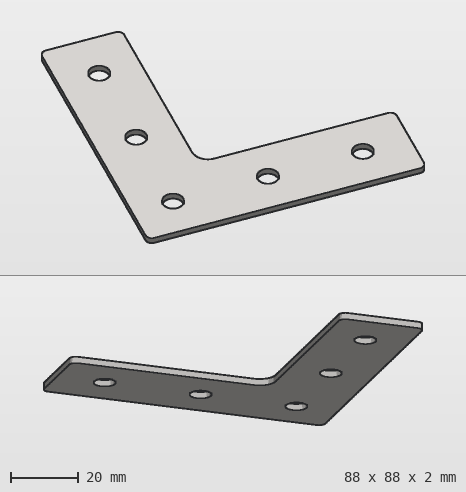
import cadquery as cq

side = 88.0
arm_width = 26.0
thickness = 2.0
corner_radius = 2.0
inner_radius = 5.0

hole_diameter = 6.5
hole_pitch = 30.0
holes_per_arm = 3

inner_x = side - arm_width
hole_x = side - arm_width / 2
hole_y = arm_width / 2


def round_upright_edge(body, point, radius):
    """Fillet the vertical edge of the body that stands at the given XY point."""
    x, y = point
    nearest = cq.selectors.NearestToPointSelector((x, y, thickness / 2))
    return body.edges("|Z").edges(nearest).fillet(radius)


def make_plate():
    """L-shaped plate with small outer corner rounds and a larger inner fillet."""
    inner_corner = (inner_x, arm_width)
    arm_end_corner = (0, arm_width)
    outer_corners = [(0, 0), (side, 0), (side, side), (inner_x, side)]
    outline = outer_corners + [inner_corner, arm_end_corner]

    plate = cq.Workplane("XY").polyline(outline).close().extrude(thickness)
    plate = round_upright_edge(plate, inner_corner, inner_radius)
    for corner in outer_corners + [arm_end_corner]:
        plate = round_upright_edge(plate, corner, corner_radius)
    return plate


def hole_centers():
    """Evenly pitched centers along both arms, counted from the outer corner."""
    along_x = [(hole_x - i * hole_pitch, hole_y) for i in range(holes_per_arm)]
    along_y = [(hole_x, hole_y + i * hole_pitch) for i in range(1, holes_per_arm)]
    return along_x + along_y


holes = (
    cq.Workplane("XY")
    .pushPoints(hole_centers())
    .circle(hole_diameter / 2)
    .extrude(thickness)
)

result = make_plate().cut(holes)